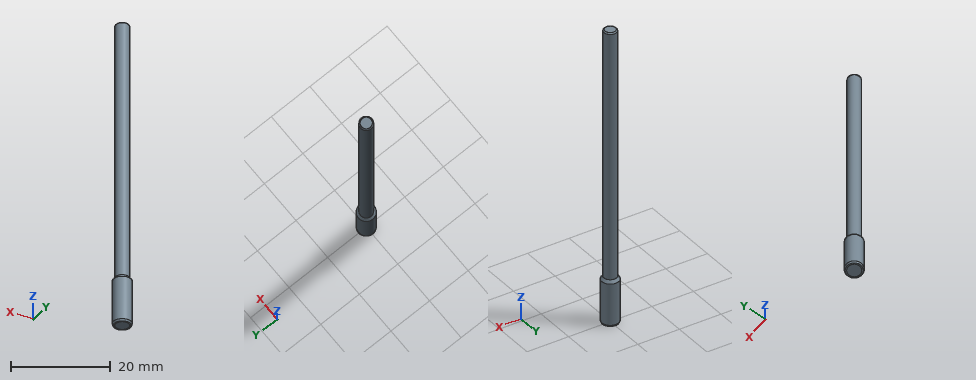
import cadquery as cq

total_length = 70.0
pin_diameter = 3.0
pin_chamfer = 0.3

sleeve_diameter = 4.05
sleeve_length = 11.0
sleeve_taper_height = 0.7
sleeve_bottom_chamfer_width = 0.2
sleeve_bottom_chamfer_height = 0.4


def revolve_profile(points):
    """Turn a closed (radius, height) outline about the Z axis."""
    return cq.Workplane("XZ").polyline(points).close().revolve(360, (0, 0), (0, 1))


def make_pin():
    """Rod running the full length, with a chamfered tip."""
    radius = pin_diameter / 2
    return revolve_profile([
        (0, 0),
        (radius, 0),
        (radius, total_length - pin_chamfer),
        (radius - pin_chamfer, total_length),
        (0, total_length),
    ])


def make_sleeve():
    """Through-bored collar that tapers to the pin surface at the top and is chamfered below."""
    bore_radius = pin_diameter / 2
    radius = sleeve_diameter / 2
    return revolve_profile([
        (bore_radius, 0),
        (radius - sleeve_bottom_chamfer_width, 0),
        (radius, sleeve_bottom_chamfer_height),
        (radius, sleeve_length - sleeve_taper_height),
        (bore_radius, sleeve_length),
    ])


pin = make_pin()
sleeve = make_sleeve()

result = cq.Compound.makeCompound([pin.val(), sleeve.val()])